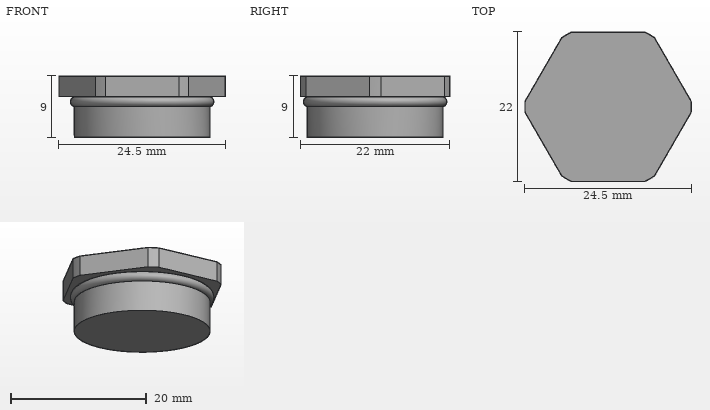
import math

import cadquery as cq

side_count = 6
across_flats = 22.0
across_corners = across_flats / math.cos(math.pi / side_count)
corner_diameter = 24.5
head_height = 3.0

total_height = 9.0
body_diameter = 20.0
body_height = total_height - head_height

ring_section = 1.5
ring_outer_diameter = 21.1
ring_path_radius = (ring_outer_diameter - ring_section) / 2


def make_body():
    return cq.Workplane("XY").circle(body_diameter / 2).extrude(body_height)


def make_head():
    """Hexagon with flats facing +/-Y, its corners turned down to a circle."""
    head_base = cq.Workplane("XY").workplane(offset=body_height)
    hexagon = head_base.polygon(side_count, across_corners).extrude(head_height)
    corner_limit = head_base.circle(corner_diameter / 2).extrude(head_height)
    return hexagon.intersect(corner_limit)


def make_sealing_ring():
    """Round-section ring, partly sunk into the body, touching the head."""
    ring_center_z = body_height - ring_section / 2
    return (
        cq.Workplane("XZ")
        .center(-ring_path_radius, ring_center_z)
        .circle(ring_section / 2)
        .revolve(360, (ring_path_radius, 0), (ring_path_radius, 1))
    )


result = make_body().union(make_head()).union(make_sealing_ring())